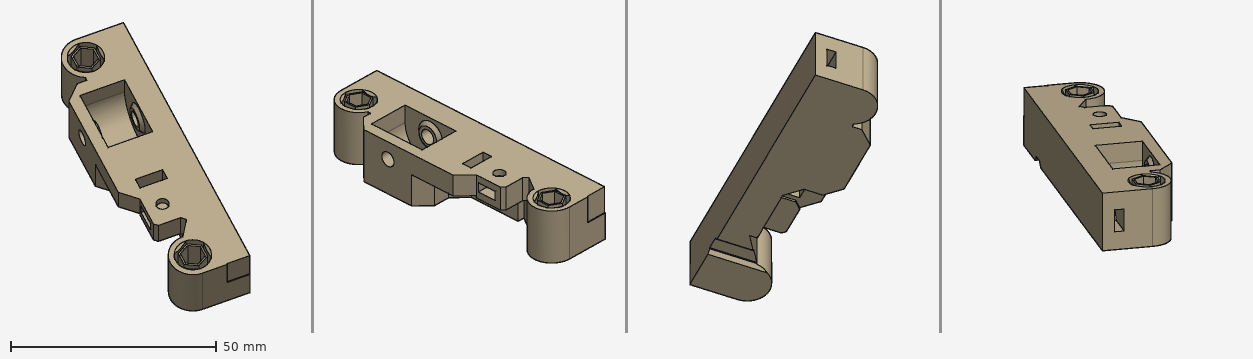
import cadquery as cq
import math

LENGTH = 77.0
DEPTH = 21.7
HEIGHT = 15.0

TOWER_RADIUS = 6.0
TOWER_Y = 9.1
TOWER_CENTERS = [(TOWER_RADIUS, TOWER_Y), (LENGTH - TOWER_RADIUS, TOWER_Y)]

RELIEF_RIGHT_X = 12.4
RELIEF_Y = 6.55
SHOULDER_Y = 4.0
NOSE_LEFT_X = RELIEF_RIGHT_X + SHOULDER_Y
NOSE_RIGHT_X = 46.4
TONGUE_LEFT_X = NOSE_RIGHT_X + SHOULDER_Y
TONGUE_RIGHT_X = 59.5
TONGUE_CHAMFER = 0.9
NOTCH_SIDE_Y = 10.85
NOTCH_BEVEL = 1.1
NOTCH_TIP = (TONGUE_RIGHT_X + NOTCH_BEVEL, NOTCH_SIDE_Y + NOTCH_BEVEL)
NOTCH_END = (LENGTH - 2 * TOWER_RADIUS, TOWER_Y)

NOSE_UNDERSIDE_Z = 9.0
TONGUE_UNDERSIDE_Z = 8.4
UNDERCUT_LEFT_X = 32.5
UNDERCUT_STEP = 3.9
UNDERCUT_WALL_Y = 12.85
UNDERCUT_RIGHT_X = 56.05
LIP_LEFT_X = 48.5

WHEEL_X = 24.5
WHEEL_Z = 10.0
WHEEL_RADIUS = 8.55
POCKET_FRONT_Y = 3.15
POCKET_BACK_Y = 15.0
AXLE_DIAMETER = 4.1
AXLE_END_Y = 19.25
HUB_BASE_DIAMETER = 7.9
HUB_TIP_DIAMETER = 5.9
HUB_HEIGHT = 1.0

RING_DIAMETER = 9.1
RING_DEPTH = 7.7
HEX_OUTER_FLATS = 6.2
HEX_INNER_FLATS = 5.3
HEX_DEPTH = 9.25
RIB_THICKNESS = 0.7
RIB_ANGLES = (90, 210, 330)

SLOT_LEFT_X = 44.5
SLOT_WIDTH = 2.85
SLOT_FRONT_Y = 5.4
SLOT_LENGTH = 7.2

NUT_FLATS = 5.7
TONGUE_NUT_X = 54.0
TONGUE_NUT_Y = 8.5
TONGUE_NUT_Z = 10.4
TONGUE_NUT_THICKNESS = 2.6
TONGUE_SCREW_DIAMETER = 3.2
TONGUE_SCREW_DEPTH = 1.8
END_NUT_X = 6.0
END_NUT_Y = 16.25
END_NUT_Z = 7.55
END_NUT_THICKNESS = 2.4

CHANNEL_LEFT_X = 61.2
CHANNEL_RIGHT_X = 64.8
CHANNEL_DEPTH = 1.4
CHANNEL_CHAMFER = 1.0

END_RECESS_DEPTH = 0.2
END_RECESS_FRONT_Y = 15.6
END_RECESS_FLOOR_Z = 7.55


def box(x0, x1, y0, y1, z0, z1):
    return cq.Workplane("XY").box(x1 - x0, y1 - y0, z1 - z0, centered=False).translate((x0, y0, z0))


def prism(points, z0, z1):
    return cq.Workplane("XY").workplane(offset=z0).polyline(points).close().extrude(z1 - z0)


def hexagon(flats):
    """Hexagon outline with two corners on the X axis."""
    return cq.Workplane("XY").polygon(6, flats / math.cos(math.pi / 6))


def make_block():
    outline = [
        (0, DEPTH),
        (0, TOWER_Y),
        (TOWER_RADIUS, TOWER_Y),
        (TOWER_RADIUS, RELIEF_Y),
        (RELIEF_RIGHT_X, RELIEF_Y),
        (RELIEF_RIGHT_X, SHOULDER_Y),
        (NOSE_LEFT_X, 0),
        (NOSE_RIGHT_X, 0),
        (TONGUE_LEFT_X, SHOULDER_Y),
        (TONGUE_RIGHT_X - TONGUE_CHAMFER, SHOULDER_Y),
        (TONGUE_RIGHT_X, SHOULDER_Y + TONGUE_CHAMFER),
        (TONGUE_RIGHT_X, NOTCH_SIDE_Y),
        NOTCH_TIP,
        NOTCH_END,
        (LENGTH, TOWER_Y),
        (LENGTH, DEPTH),
    ]
    towers = cq.Workplane("XY").pushPoints(TOWER_CENTERS).circle(TOWER_RADIUS).extrude(HEIGHT)
    return prism(outline, 0, HEIGHT).union(towers)


def make_undercut():
    slope = (NOTCH_END[1] - NOTCH_TIP[1]) / (NOTCH_END[0] - NOTCH_TIP[0])
    corner_y = NOTCH_TIP[1] + slope * (UNDERCUT_RIGHT_X - NOTCH_TIP[0])
    step_x = UNDERCUT_LEFT_X + UNDERCUT_STEP
    wall = [
        (UNDERCUT_LEFT_X, 0),
        (step_x, UNDERCUT_STEP),
        (step_x, UNDERCUT_WALL_Y - UNDERCUT_STEP),
        (step_x + UNDERCUT_STEP, UNDERCUT_WALL_Y),
        (UNDERCUT_RIGHT_X, UNDERCUT_WALL_Y),
        (UNDERCUT_RIGHT_X, corner_y),
        NOTCH_TIP,
        (NOTCH_TIP[0], 0),
    ]
    lip_side_y = SHOULDER_Y + TONGUE_LEFT_X - LIP_LEFT_X
    lip = [
        (TONGUE_LEFT_X, SHOULDER_Y),
        (LIP_LEFT_X, lip_side_y),
        (LIP_LEFT_X, DEPTH),
        (LENGTH, DEPTH),
        (LENGTH, SHOULDER_Y),
    ]
    return prism(wall, 0, NOSE_UNDERSIDE_Z).cut(prism(lip, TONGUE_UNDERSIDE_Z, NOSE_UNDERSIDE_Z))


def make_hub(wall_y, direction):
    """Cone that stands on a pocket wall around the axle."""
    cone = cq.Solid.makeCone(
        HUB_BASE_DIAMETER / 2,
        HUB_TIP_DIAMETER / 2,
        HUB_HEIGHT,
        pnt=cq.Vector(WHEEL_X, wall_y, WHEEL_Z),
        dir=cq.Vector(0, direction, 0),
    )
    return cq.Workplane(cone)


def make_wheel_pocket():
    width = POCKET_BACK_Y - POCKET_FRONT_Y
    wheel = (
        cq.Workplane("XZ", origin=(WHEEL_X, POCKET_FRONT_Y, WHEEL_Z))
        .circle(WHEEL_RADIUS)
        .extrude(-width)
    )
    opening = box(
        WHEEL_X - WHEEL_RADIUS, WHEEL_X + WHEEL_RADIUS, POCKET_FRONT_Y, POCKET_BACK_Y, WHEEL_Z, HEIGHT
    )
    axle = cq.Workplane("XZ", origin=(WHEEL_X, 0, WHEEL_Z)).circle(AXLE_DIAMETER / 2).extrude(-AXLE_END_Y)
    hubs = make_hub(POCKET_FRONT_Y, 1).union(make_hub(POCKET_BACK_Y, -1))
    return wheel.union(opening).cut(hubs).union(axle)


def make_tower_socket():
    """Hexagonal socket inside a ring groove; three flat ribs with a conical lead-in narrow the groove."""
    ring_radius = RING_DIAMETER / 2
    rib_radius = ring_radius - RIB_THICKNESS
    groove = cq.Workplane("XY").circle(ring_radius).extrude(-RING_DEPTH)
    rib = box(rib_radius, ring_radius, -ring_radius, ring_radius, -RING_DEPTH, 0)
    for angle in RIB_ANGLES:
        groove = groove.cut(rib.rotate((0, 0, 0), (0, 0, 1), angle))
    lead_in = cq.Solid.makeCone(
        ring_radius, rib_radius, RIB_THICKNESS, pnt=cq.Vector(0, 0, 0), dir=cq.Vector(0, 0, -1)
    )
    groove = groove.union(cq.Workplane(lead_in))
    groove = groove.cut(hexagon(HEX_OUTER_FLATS).extrude(-RING_DEPTH))
    return groove.union(hexagon(HEX_INNER_FLATS).extrude(-HEX_DEPTH))


def make_nut_trap(thickness, mouth):
    """Nut hollow centred on Z, its slot running along -X for the length of the mouth."""
    nut = hexagon(NUT_FLATS).extrude(thickness)
    return nut.union(box(-mouth, 0, -NUT_FLATS / 2, NUT_FLATS / 2, 0, thickness))


def make_tongue_nut_trap():
    trap = make_nut_trap(TONGUE_NUT_THICKNESS, TONGUE_NUT_Y).rotate((0, 0, 0), (0, 0, 1), 90)
    return trap.translate((TONGUE_NUT_X, TONGUE_NUT_Y, TONGUE_NUT_Z))


def make_tongue_screw_hole():
    hole = cq.Workplane("XY").circle(TONGUE_SCREW_DIAMETER / 2).extrude(-TONGUE_SCREW_DEPTH)
    return hole.translate((TONGUE_NUT_X, TONGUE_NUT_Y, HEIGHT))


def make_end_nut_trap():
    trap = make_nut_trap(END_NUT_THICKNESS, END_NUT_X).rotate((0, 0, 0), (1, 0, 0), -90)
    return trap.translate((END_NUT_X, END_NUT_Y, END_NUT_Z))


def make_channel():
    profile = [
        (CHANNEL_LEFT_X - CHANNEL_CHAMFER, 0),
        (CHANNEL_LEFT_X, CHANNEL_CHAMFER),
        (CHANNEL_LEFT_X, CHANNEL_DEPTH),
        (CHANNEL_RIGHT_X, CHANNEL_DEPTH),
        (CHANNEL_RIGHT_X, CHANNEL_CHAMFER),
        (CHANNEL_RIGHT_X + CHANNEL_CHAMFER, 0),
    ]
    return cq.Workplane("XZ").polyline(profile).close().extrude(-DEPTH)


slot = box(SLOT_LEFT_X, SLOT_LEFT_X + SLOT_WIDTH, SLOT_FRONT_Y, SLOT_FRONT_Y + SLOT_LENGTH, 0, HEIGHT)
end_recess = box(
    LENGTH - END_RECESS_DEPTH, LENGTH, END_RECESS_FRONT_Y, DEPTH, END_RECESS_FLOOR_Z, HEIGHT
)

result = make_block().cut(make_undercut()).cut(make_wheel_pocket()).cut(slot)
result = result.cut(make_tongue_nut_trap()).cut(make_tongue_screw_hole()).cut(make_end_nut_trap())
result = result.cut(make_channel()).cut(end_recess)
for center_x, center_y in TOWER_CENTERS:
    result = result.cut(make_tower_socket().translate((center_x, center_y, HEIGHT)))